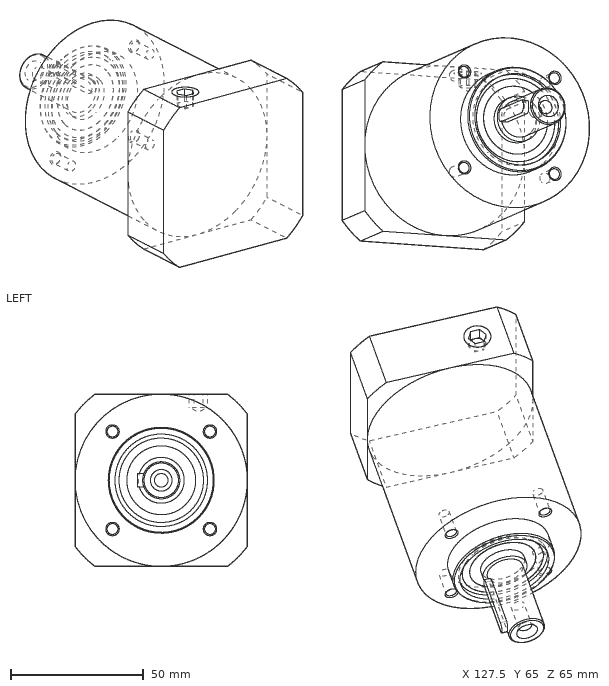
import cadquery as cq
import math


total_length = 127.5
body_size = 65.0
body_radius = body_size / 2

flange_length = 23.0
flange_corner_radius = 41.0

housing_end_x = total_length - flange_length
housing_start_x = 38.9
boss_radius = 20.0
boss_start_x = 30.9
boss_chamfer_length = 0.8
boss_chamfer_height = 0.4

recess_steps = [(17.5, 2.0), (16.0, 0.1), (13.0, 0.1)]

shaft_radius = 7.0
shaft_chamfer = 0.5
collar_radius = 8.7
collar_start_x = 30.0

key_start_x = 2.5
key_length = 25.0
key_width = 5.0
key_top_y = 9.0
key_height = 5.0

center_mouth_radius = 4.1
center_hole_radius = 2.5
center_cone_depth = 2.5
center_hole_depth = 12.8

mount_circle_radius = 26.0
mount_hole_count = 4
mount_hole_radius = 2.0
mount_mouth_radius = 2.5
mount_hole_depth = 10.2

screw_x = 116.0
screw_y = -14.0
screw_head_radius = 5.1
screw_recess = 0.06
socket_flats = 6.0
socket_depth = 5.1

drill_tip_half_angle = math.radians(59)


def cylinder_x(radius, start_x, end_x):
    """Solid cylinder on the X axis."""
    return cq.Workplane("YZ", origin=(start_x, 0, 0)).circle(radius).extrude(end_x - start_x)


def drilled_hole(start_x, mouth_radius, cone_depth, radius, depth):
    """Cutter on the X axis: conical mouth, straight bore and conical drill tip."""
    tip_length = radius / math.tan(drill_tip_half_angle)
    return (
        cq.Workplane("XY")
        .moveTo(start_x, 0)
        .lineTo(start_x, mouth_radius)
        .lineTo(start_x + cone_depth, radius)
        .lineTo(start_x + depth, radius)
        .lineTo(start_x + depth + tip_length, 0)
        .close()
        .revolve(360, (0, 0, 0), (1, 0, 0))
    )


def make_flange():
    square = (
        cq.Workplane("YZ", origin=(housing_end_x, 0, 0))
        .rect(body_size, body_size)
        .extrude(flange_length)
    )
    return square.intersect(cylinder_x(flange_corner_radius, housing_end_x, total_length))


def make_housing():
    housing = cylinder_x(body_radius, housing_start_x, housing_end_x)
    boss = cylinder_x(boss_radius, boss_start_x, housing_start_x)
    boss = boss.faces("<X").chamfer(boss_chamfer_length, boss_chamfer_height)
    housing = housing.union(boss)
    floor_x = boss_start_x
    for radius, added_depth in recess_steps:
        floor_x += added_depth
        housing = housing.cut(cylinder_x(radius, boss_start_x, floor_x))
    return housing


def make_shaft():
    shaft = cylinder_x(shaft_radius, 0, housing_start_x).faces("<X").chamfer(shaft_chamfer)
    return shaft.union(cylinder_x(collar_radius, collar_start_x, housing_start_x))


def make_key():
    key_center_x = key_start_x + key_length / 2
    return (
        cq.Workplane("XZ", origin=(key_center_x, key_top_y, 0))
        .slot2D(key_length, key_width)
        .extrude(key_height)
    )


def make_mounting_holes():
    hole = drilled_hole(
        housing_start_x,
        mount_mouth_radius,
        mount_mouth_radius - mount_hole_radius,
        mount_hole_radius,
        mount_hole_depth,
    ).translate((0, mount_circle_radius, 0))
    spacing = 360 / mount_hole_count
    holes = cq.Workplane("XY")
    for index in range(mount_hole_count):
        angle = (index + 0.5) * spacing
        holes = holes.add(hole.rotate((0, 0, 0), (1, 0, 0), angle))
    return holes.combine()


def make_screw_socket():
    """Cutter for the shallow head recess, the hexagon socket and its conical bottom."""
    face = cq.Workplane("XY", origin=(screw_x, screw_y, body_radius))
    recess = face.circle(screw_head_radius).extrude(-screw_recess)
    corner_diameter = socket_flats / math.cos(math.pi / 6)
    hexagon = face.transformed(rotate=(0, 0, 90)).polygon(6, corner_diameter).extrude(-socket_depth)
    tip_radius = socket_flats / 2
    tip_length = tip_radius / math.tan(drill_tip_half_angle)
    tip = cq.Solid.makeCone(
        tip_radius,
        0,
        tip_length,
        pnt=cq.Vector(screw_x, screw_y, body_radius - socket_depth),
        dir=cq.Vector(0, 0, -1),
    )
    return recess.union(hexagon).union(cq.Workplane(tip))


center_hole = drilled_hole(
    0, center_mouth_radius, center_cone_depth, center_hole_radius, center_hole_depth
)

result = (
    make_flange()
    .union(make_housing())
    .union(make_shaft())
    .union(make_key())
    .cut(center_hole)
    .cut(make_mounting_holes())
    .cut(make_screw_socket())
)